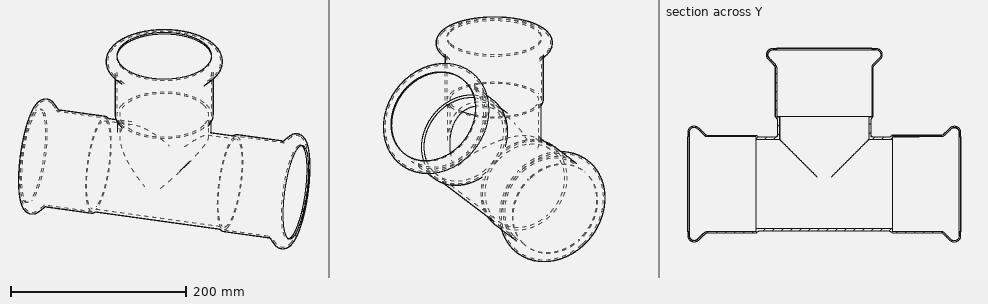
import cadquery as cq
import math

run_length = 312.0
bead_diameter = 133.0
overall_height = 221.5

run_diameter = 108.0
branch_diameter = 107.0
socket_diameter = 112.0
socket_bore = 108.0
tube_bore = 101.5
socket_wall = (socket_diameter - socket_bore) / 2

step_start = 78.0
step_end = 81.5

bead_radius = 7.5
cone_angle = math.radians(45)
cone_base_fillet = 2.5
step_fillet = 1.5
crotch_fillet = 1.5

run_reach = run_length / 2
branch_reach = overall_height - bead_diameter / 2
bead_center = bead_diameter / 2 - bead_radius
tolerance = 0.03


def round_ring(solid, height, radius):
    """Fillet the circular edge lying at the given height on a Z-axis solid."""
    ring = solid.edges(cq.selectors.BoxSelector(
        (-bead_diameter, -bead_diameter, height - tolerance),
        (bead_diameter, bead_diameter, height + tolerance),
    ))
    return ring.fillet(radius)


def revolved_tube(reach, tube_radius, socket_radius, arc_radius, base_fillet, step_end_depth):
    """Solid of revolution along +Z from the origin: tube, socket, cone and half of the bead."""

    def on_bead(angle):
        """Profile point on the bead, by angle from radially outward toward the tube."""
        radius = bead_center + arc_radius * math.cos(angle)
        height = reach - bead_radius - arc_radius * math.sin(angle)
        return radius, height

    cone_radius, cone_top = on_bead(cone_angle)
    cone_base = cone_top - (cone_radius - socket_radius) / math.tan(cone_angle)
    bead_top = on_bead(-math.pi / 2)
    solid = (
        cq.Workplane("XZ")
        .lineTo(tube_radius, 0)
        .lineTo(tube_radius, reach - step_end_depth)
        .lineTo(socket_radius, reach - step_start)
        .lineTo(socket_radius, cone_base)
        .lineTo(cone_radius, cone_top)
        .threePointArc(on_bead(0), bead_top)
        .lineTo(0, bead_top[1])
        .close()
        .revolve(360, (0, 0, 0), (0, 1, 0))
    )
    return round_ring(solid, cone_base, base_fillet)


def outer_tube(reach, diameter):
    """Outer skin of one tube, with a conical step rounded at both ends."""
    solid = revolved_tube(
        reach, diameter / 2, socket_diameter / 2, bead_radius, cone_base_fillet, step_end
    )
    for depth in (step_start, step_end):
        solid = round_ring(solid, reach - depth, step_fillet)
    return solid


def inner_cavity(reach):
    """Hollow of one tube: bore, socket with a flat pipe stop, seal groove and open mouth."""
    cavity = revolved_tube(
        reach, tube_bore / 2, socket_bore / 2, bead_radius - socket_wall,
        cone_base_fillet + socket_wall, step_start,
    )
    mouth = (
        cq.Workplane("XY")
        .workplane(offset=reach - bead_radius)
        .circle(socket_bore / 2)
        .extrude(bead_radius)
    )
    return cavity.union(mouth)


def along_run(arm):
    """Place a Z-axis arm along +X and along -X, as one solid."""
    right_arm, left_arm = (arm.rotate((0, 0, 0), (0, 1, 0), turn) for turn in (90, -90))
    return right_arm.union(left_arm)


def blend_crotch(tee):
    """Fillet the saddle edge where the branch meets the upper half of the run."""
    half_width = run_diameter / 2
    saddle = tee.edges(cq.selectors.BoxSelector(
        (-half_width, -half_width, tolerance),
        (half_width, half_width, half_width),
    ))
    return saddle.fillet(crotch_fillet)


outer = along_run(outer_tube(run_reach, run_diameter)).union(outer_tube(branch_reach, branch_diameter))
outer = blend_crotch(outer)

result = outer.cut(along_run(inner_cavity(run_reach))).cut(inner_cavity(branch_reach))